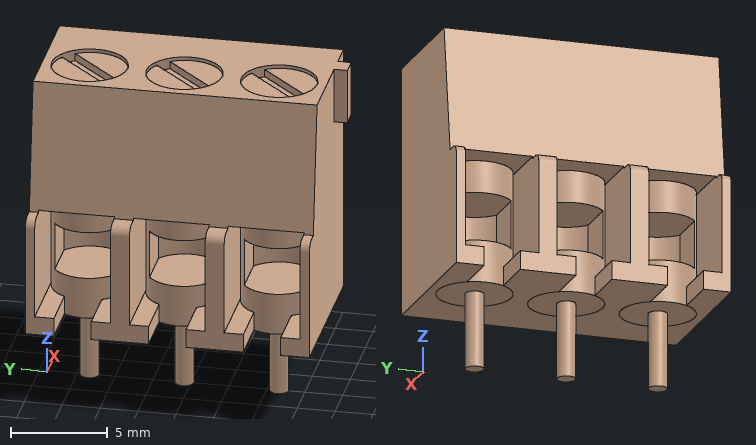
import cadquery as cq


POLE_COUNT = 3
PITCH = 5.0
AXIS_X = 4.5

DEPTH = 9.0
LENGTH = POLE_COUNT * PITCH
TOTAL_HEIGHT = 17.6
PIN_LENGTH = 4.1
HEIGHT = TOTAL_HEIGHT - PIN_LENGTH
STEP_HEIGHT = 6.51
STEP_DEPTH = 1.02
SLOPE_TOP_X = 2.0
STEP_RADIUS = 0.51

BARREL_DIAMETER = 4.0
BAY_HEIGHT = 6.62
LEDGE_HEIGHT = 1.02
LEDGE_GAP = 1.97

TAB_X = 6.5
TAB_WIDTH = 1.02
TAB_HEIGHT = 3.0
TAB_PROJECTION = 0.7

HEAD_RECESS = 0.2
SLOT_WIDTH = 0.81
SLOT_DEPTH = 0.4
SLOT_ANGLE = 45
WINDOW_WIDTH = 3.2
WINDOW_BOTTOM = 2.27
WINDOW_HEIGHT = 2.6

PIN_DIAMETER = 1.0

POLE_CENTERS = [(i + 0.5) * PITCH for i in range(POLE_COUNT)]
BARREL_HEIGHT = HEIGHT - HEAD_RECESS


def make_box(x_size, y_size, z_size, x_min, y_center, z_min):
    """Box that starts at x_min and z_min and is centred on y_center."""
    return (
        cq.Workplane("XY")
        .box(x_size, y_size, z_size, centered=(False, True, False))
        .translate((x_min, y_center, z_min))
    )


def make_cylinder(diameter, height, y_center, z_min):
    """Vertical cylinder on the axis of the pole at y_center."""
    return (
        cq.Workplane("XY")
        .circle(diameter / 2)
        .extrude(height)
        .translate((AXIS_X, y_center, z_min))
    )


def make_housing_block():
    """Profile with a rounded front step and a sloping face, extruded along Y."""
    return (
        cq.Workplane("XZ")
        .moveTo(0, 0)
        .lineTo(DEPTH, 0)
        .lineTo(DEPTH, HEIGHT)
        .lineTo(SLOPE_TOP_X, HEIGHT)
        .lineTo(STEP_DEPTH, STEP_HEIGHT)
        .lineTo(STEP_RADIUS, STEP_HEIGHT)
        .radiusArc((0, STEP_HEIGHT - STEP_RADIUS), -STEP_RADIUS)
        .close()
        .extrude(-LENGTH)
    )


def make_pole_opening(y_center):
    """Barrel bore, wire entry bay and the gap between the bay's two bottom ledges."""
    bore = make_cylinder(BARREL_DIAMETER, HEIGHT, y_center, 0)
    bay_height = BAY_HEIGHT - LEDGE_HEIGHT
    bay = make_box(AXIS_X, BARREL_DIAMETER, bay_height, 0, y_center, LEDGE_HEIGHT)
    ledge_gap = make_box(AXIS_X, LEDGE_GAP, LEDGE_HEIGHT, 0, y_center, 0)
    return bore.union(bay).union(ledge_gap)


def make_housing():
    housing = make_housing_block()
    for y_center in POLE_CENTERS:
        housing = housing.cut(make_pole_opening(y_center))
    tab = make_box(TAB_WIDTH, TAB_PROJECTION, TAB_HEIGHT, TAB_X, -TAB_PROJECTION / 2, HEIGHT - TAB_HEIGHT)
    return housing.union(tab)


def make_barrel(y_center):
    """Cylinder with a diagonal driver slot on top and a rectangular wire window through it along X."""
    slot = (
        cq.Workplane("XY")
        .box(2 * BARREL_DIAMETER, SLOT_WIDTH, SLOT_DEPTH, centered=(True, True, False))
        .rotate((0, 0, 0), (0, 0, 1), SLOT_ANGLE)
        .translate((AXIS_X, y_center, BARREL_HEIGHT - SLOT_DEPTH))
    )
    window = make_box(DEPTH, WINDOW_WIDTH, WINDOW_HEIGHT, 0, y_center, WINDOW_BOTTOM)
    barrel = make_cylinder(BARREL_DIAMETER, BARREL_HEIGHT, y_center, 0)
    return barrel.cut(slot).cut(window)


def make_pin(y_center):
    """Solder pin hanging below the barrel."""
    return make_cylinder(PIN_DIAMETER, PIN_LENGTH, y_center, -PIN_LENGTH)


housing = make_housing()
barrels = [make_barrel(y_center).val() for y_center in POLE_CENTERS]
pins = [make_pin(y_center).val() for y_center in POLE_CENTERS]

result = cq.Compound.makeCompound([housing.val(), *barrels, *pins])